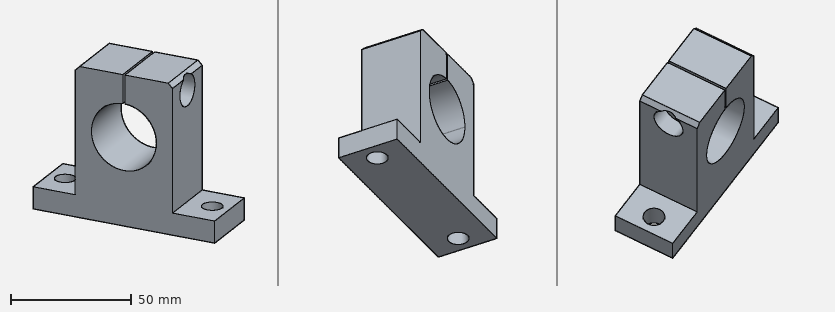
import cadquery as cq

base_length = 84.0
depth = 28.0
base_height = 10.0
mount_hole_diameter = 9.0
mount_hole_spacing = 68.0

total_height = 68.0
block_width = 45.0
top_chamfer = 2.0

bore_diameter = 30.0
bore_height = 40.0
slit_width = 1.0

recess_diameter = 14.0
recess_depth = 8.0
recess_top_gap = 1.0
recess_height = total_height - recess_top_gap - recess_diameter / 2


def make_base():
    """Flange with a mounting hole in each foot."""
    base = cq.Workplane("XY").box(base_length, depth, base_height, centered=(True, True, False))
    return (
        base.faces(">Z").workplane()
        .rarray(mount_hole_spacing, 0.8, 2, 1)
        .hole(mount_hole_diameter)
    )


def make_block():
    """Upright block with its two upper side edges chamfered."""
    block = cq.Workplane("XY").box(block_width, depth, total_height, centered=(True, True, False))
    return block.edges("|Y and >Z").chamfer(top_chamfer)


def make_bore():
    """Shaft bore running through the full depth."""
    return (
        cq.Workplane("XZ")
        .center(0, bore_height)
        .circle(bore_diameter / 2)
        .extrude(depth / 2, both=True)
    )


def make_slit():
    """Clamping slit from the bore centre up through the top face."""
    slit_height = total_height - bore_height
    return (
        cq.Workplane("XY", origin=(0, 0, bore_height))
        .box(slit_width, depth, slit_height, centered=(True, True, False))
    )


def make_screw_recess():
    """Round recess that also nicks the +X chamfer."""
    return (
        cq.Workplane("YZ", origin=(block_width / 2, 0, recess_height))
        .circle(recess_diameter / 2)
        .extrude(-recess_depth)
    )


result = (
    make_base()
    .union(make_block())
    .cut(make_bore())
    .cut(make_slit())
    .cut(make_screw_recess())
)